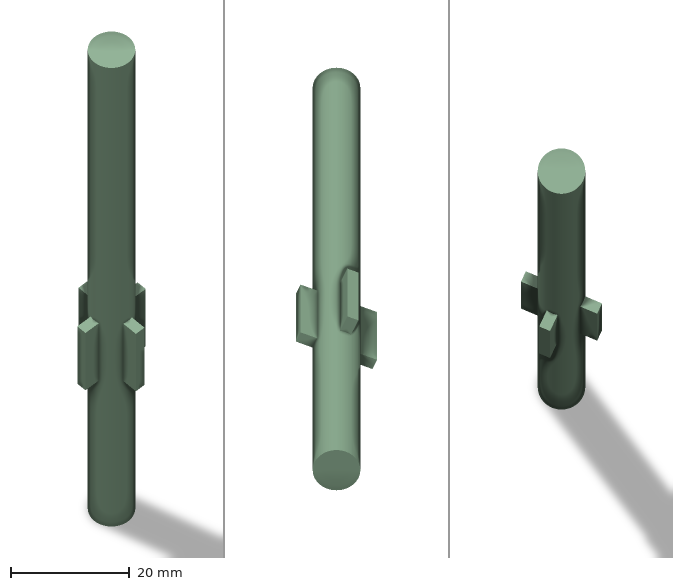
import cadquery as cq

SHAFT_LENGTH = 120.0
SHAFT_DIAMETER = 8.0
SHAFT_SIDES = 90

FIN_COUNT = 4
FIN_SPAN = 14.0
FIN_THICKNESS = 2.0
FIN_HEIGHT = 15.0
FIN_BOTTOM = 37.5


def make_shaft():
    """Faceted straight shaft along Z."""
    return cq.Workplane("XY").polygon(SHAFT_SIDES, SHAFT_DIAMETER).extrude(SHAFT_LENGTH)


def make_fin(angle):
    """Radial blade from the shaft axis outwards, turned by angle degrees about Z."""
    fin_reach = FIN_SPAN / 2
    return (
        cq.Workplane("XY", origin=(0, 0, FIN_BOTTOM))
        .box(fin_reach, FIN_THICKNESS, FIN_HEIGHT, centered=(False, True, False))
        .rotate((0, 0, 0), (0, 0, 1), angle)
    )


result = make_shaft()
for fin_index in range(FIN_COUNT):
    result = result.union(make_fin(fin_index * 360 / FIN_COUNT))